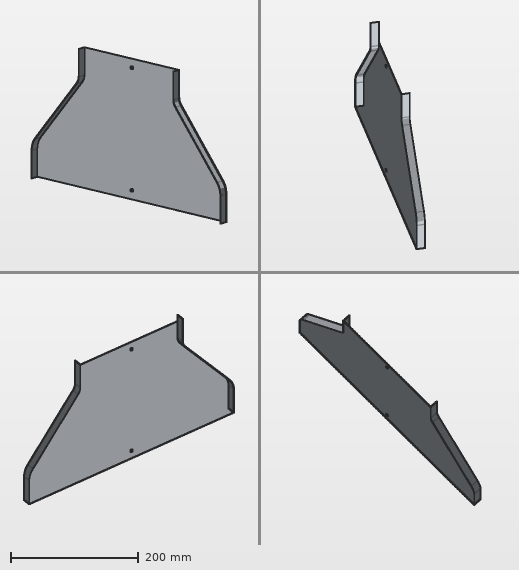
import cadquery as cq

base_width = 402.0
neck_width = 202.0
height = 230.0
depth = 14.0
sheet_thickness = 1.0
shoulder_height = 58.0
neck_height = 51.5
shoulder_radius = 32.0
neck_radius = 17.5
hole_diameter = 5.0
hole_edge_distance = 15.0

half_base = base_width / 2
half_neck = neck_width / 2
shoulder_z = shoulder_height
neck_z = height - neck_height


def corner_edges(half_width, z):
    """Select the two bend corners that run along Y at +/- half_width."""
    margin = 0.5
    return cq.selectors.BoxSelector(
        (-half_width - margin, -depth, z - margin),
        (half_width + margin, depth, z + margin),
    )


def make_envelope():
    """Solid block with the outer outline, its back face at Y = depth / 2."""
    outline = [
        (-half_base, 0),
        (half_base, 0),
        (half_base, shoulder_z),
        (half_neck, neck_z),
        (half_neck, height),
        (-half_neck, height),
        (-half_neck, neck_z),
        (-half_base, shoulder_z),
    ]
    block = cq.Workplane("XZ", origin=(0, depth / 2, 0)).polyline(outline).close().extrude(depth)
    block = block.edges(corner_edges(half_base, shoulder_z)).fillet(shoulder_radius)
    return block.edges(corner_edges(half_neck, neck_z)).fillet(neck_radius)


def make_tray(block):
    """Hollow the block, open at the front, top and bottom, leaving the back plate and side flanges."""
    return block.faces("<Y or >Z or <Z").shell(-sheet_thickness)


def make_holes():
    """Through-hole cutters on the centre line near the top and bottom edges."""
    hole_centres = [(0, hole_edge_distance), (0, height - hole_edge_distance)]
    return (
        cq.Workplane("XZ", origin=(0, depth / 2, 0))
        .pushPoints(hole_centres)
        .circle(hole_diameter / 2)
        .extrude(depth)
    )


result = make_tray(make_envelope()).cut(make_holes())